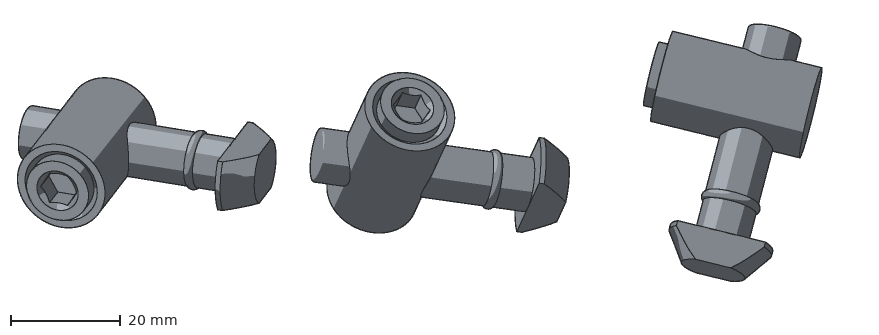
import cadquery as cq
import math

BOLT_START_X = -13.0
BOLT_LENGTH = 46.15
BOLT_END_X = BOLT_START_X + BOLT_LENGTH

SLEEVE_DIAMETER = 17.0
SLEEVE_BACK_Y = 10.0
SLEEVE_LENGTH = 28.0
SLEEVE_FRONT_Y = SLEEVE_BACK_Y - SLEEVE_LENGTH
COUNTERSINK_DIAMETER = 14.0

SCREW_DIAMETER = 12.0
SCREW_PROTRUSION = 2.0
SCREW_FRONT_Y = SLEEVE_FRONT_Y - SCREW_PROTRUSION
HEX_ACROSS_FLATS = 6.0
HEX_DEPTH = 5.0
HEX_COUNTERSINK_DIAMETER = 8.0

ROD_DIAMETER = 10.0
ROD_END_FILLET = 0.4
RING_X = 20.0
RING_SECTION_DIAMETER = 2.0
RING_OUTER_DIAMETER = 11.0
HEAD_LENGTH = 6.28
HEAD_RIM_LENGTH = 0.95
HEAD_DIAMETER = 19.35
HEAD_TIP_DIAMETER = 12.0
HEAD_START_X = BOLT_END_X - HEAD_LENGTH

SCREW_END_Y = -ROD_DIAMETER / 2


def cylinder_along_y(diameter, start_y, end_y):
    return cq.Workplane("XZ", origin=(0, start_y, 0)).circle(diameter / 2).extrude(start_y - end_y)


def cylinder_along_x(diameter, start_x, end_x):
    return cq.Workplane("YZ", origin=(start_x, 0, 0)).circle(diameter / 2).extrude(end_x - start_x)


def countersink(mouth_diameter, bottom_diameter, mouth_y):
    """45 degree cone that opens towards -Y at mouth_y."""
    mouth_radius = mouth_diameter / 2
    bottom_radius = bottom_diameter / 2
    cone = cq.Solid.makeCone(
        mouth_radius,
        bottom_radius,
        mouth_radius - bottom_radius,
        pnt=cq.Vector(0, mouth_y, 0),
        dir=cq.Vector(0, 1, 0),
    )
    return cq.Workplane(obj=cone)


def make_sleeve():
    body = cylinder_along_y(SLEEVE_DIAMETER, SLEEVE_FRONT_Y, SLEEVE_BACK_Y)
    cross_hole = cylinder_along_x(ROD_DIAMETER, -SLEEVE_DIAMETER, SLEEVE_DIAMETER)
    screw_hole = cylinder_along_y(SCREW_DIAMETER, SLEEVE_FRONT_Y, SCREW_END_Y)
    hole_mouth = countersink(COUNTERSINK_DIAMETER, SCREW_DIAMETER, SLEEVE_FRONT_Y)
    return body.cut(cross_hole).cut(screw_hole).cut(hole_mouth)


def make_set_screw():
    body = cylinder_along_y(SCREW_DIAMETER, SCREW_FRONT_Y, SCREW_END_Y)
    across_corners = HEX_ACROSS_FLATS / math.cos(math.pi / 6)
    socket = cq.Workplane("XZ", origin=(0, SCREW_FRONT_Y, 0)).polygon(6, across_corners).extrude(-HEX_DEPTH)
    socket_mouth = countersink(HEX_COUNTERSINK_DIAMETER, HEX_ACROSS_FLATS, SCREW_FRONT_Y)
    return body.cut(socket).cut(socket_mouth)


def make_bolt_head():
    """Round head with a conical nose, cut flat above and below to the rod width."""
    rim_radius = HEAD_DIAMETER / 2
    profile = [
        (HEAD_START_X, 0),
        (HEAD_START_X, rim_radius),
        (HEAD_START_X + HEAD_RIM_LENGTH, rim_radius),
        (BOLT_END_X, HEAD_TIP_DIAMETER / 2),
        (BOLT_END_X, 0),
    ]
    turned = cq.Workplane("XY").polyline(profile).close().revolve(360, (0, 0, 0), (1, 0, 0))
    slab = cq.Workplane("XY").box(HEAD_LENGTH, HEAD_DIAMETER, ROD_DIAMETER)
    return turned.intersect(slab.translate((HEAD_START_X + HEAD_LENGTH / 2, 0, 0)))


def make_ring():
    section_radius = RING_SECTION_DIAMETER / 2
    centre_radius = RING_OUTER_DIAMETER / 2 - section_radius
    section = cq.Workplane("XY").center(RING_X, centre_radius).circle(section_radius)
    return section.revolve(360, (0, -centre_radius, 0), (1, -centre_radius, 0))


def make_bolt():
    rod = cylinder_along_x(ROD_DIAMETER, BOLT_START_X, HEAD_START_X)
    rod = rod.faces("<X").edges().fillet(ROD_END_FILLET)
    return rod.union(make_ring()).union(make_bolt_head())


sleeve = make_sleeve()
set_screw = make_set_screw()
bolt = make_bolt()

bodies = [sleeve, set_screw, bolt]
result = cq.Compound.makeCompound([body.solids().val() for body in bodies])